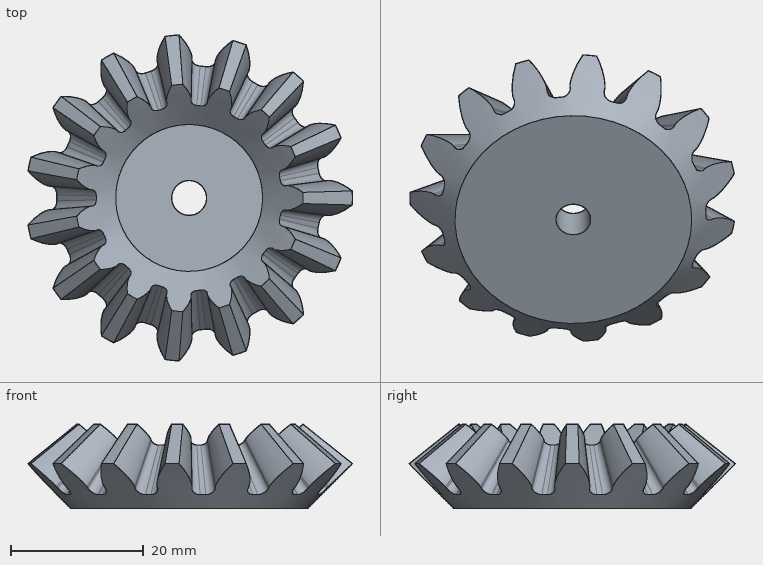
import cadquery as cq
import math

TEETH = 15
MODULE = 3.0
PRESSURE_ANGLE = math.radians(20)
PITCH_ANGLE = math.radians(45)
DEDENDUM_FACTOR = 1.2
FACE_WIDTH_FACTOR = 0.3
PITCH_HEIGHT = 4.65
HEIGHT = 12.75
FLOOR_RADIUS = 11.05
BORE_DIAMETER = 5.2
ROOT_FILLET = 1.35
FLANK_POINTS = 7
OVERCUT = 1.95
CUTTER_OUTER_SCALE = 1.3
CUTTER_INNER_SCALE = 0.4

pitch_radius = MODULE * TEETH / 2
cone_distance = pitch_radius / math.sin(PITCH_ANGLE)
apex_height = PITCH_HEIGHT + cone_distance * math.cos(PITCH_ANGLE)
dedendum = DEDENDUM_FACTOR * MODULE
tip_angle = PITCH_ANGLE + math.atan(dedendum / cone_distance)
tip_radius = pitch_radius + MODULE * math.cos(PITCH_ANGLE)
tip_height = PITCH_HEIGHT + MODULE * math.sin(PITCH_ANGLE)

end_slope = math.tan(PITCH_ANGLE)
base_radius = tip_radius - tip_height / end_slope
top_radius = tip_radius - (HEIGHT - tip_height) * math.tan(tip_angle)
face_width = FACE_WIDTH_FACTOR * cone_distance
inner_pitch_radius = pitch_radius - face_width * math.sin(PITCH_ANGLE)
inner_pitch_height = PITCH_HEIGHT + face_width * math.cos(PITCH_ANGLE)
floor_height = inner_pitch_height - (inner_pitch_radius - FLOOR_RADIUS) * end_slope

virtual_radius = pitch_radius / math.cos(PITCH_ANGLE)
virtual_teeth = TEETH / math.cos(PITCH_ANGLE)
involute_base = virtual_radius * math.cos(PRESSURE_ANGLE)
root_radius = virtual_radius - dedendum


def make_blank():
    """Revolved dish carrying the tooth tips, with the bore through its floor."""
    bore_radius = BORE_DIAMETER / 2
    return (
        cq.Workplane("XZ")
        .moveTo(bore_radius, 0)
        .lineTo(base_radius, 0)
        .lineTo(tip_radius, tip_height)
        .lineTo(top_radius, HEIGHT)
        .lineTo(FLOOR_RADIUS, floor_height)
        .lineTo(bore_radius, floor_height)
        .close()
        .revolve(360, (0, 0), (0, 1))
    )


def gap_half_angle(radius):
    """Half angle of the tooth gap between involute flanks of the equivalent gear."""
    roll = math.acos(min(1.0, involute_base / radius))
    involute = math.tan(roll) - roll
    pitch_involute = math.tan(PRESSURE_ANGLE) - PRESSURE_ANGLE
    return math.pi / (2 * virtual_teeth) - pitch_involute + involute


def flank_points():
    """Points (across, outward) of one gap flank, measured from the pitch point."""
    reach = virtual_radius + MODULE + OVERCUT - involute_base
    points = []
    for i in range(FLANK_POINTS):
        radius = involute_base + reach * (i / (FLANK_POINTS - 1)) ** 2
        angle = gap_half_angle(radius)
        points.append((radius * math.sin(angle), radius * math.cos(angle) - virtual_radius))
    return points


def gap_wire(scale):
    """Gap outline normal to the pitch line, scaled about the cone apex."""
    right = [(x * scale, y * scale) for x, y in flank_points()]
    left = [(-x, y) for x, y in right]
    root = (root_radius - virtual_radius) * scale
    fillet = ROOT_FILLET * scale
    wall = right[0][0]
    diagonal = fillet * (1 - math.sqrt(0.5))
    distance = cone_distance * scale
    origin = (
        distance * math.sin(PITCH_ANGLE),
        0,
        apex_height - distance * math.cos(PITCH_ANGLE),
    )
    normal = (math.sin(PITCH_ANGLE), 0, -math.cos(PITCH_ANGLE))
    plane = cq.Plane(origin=origin, xDir=(0, 1, 0), normal=normal)
    return (
        cq.Workplane(plane)
        .moveTo(*right[0])
        .spline(right[1:], includeCurrent=True)
        .lineTo(*left[-1])
        .spline(left[-2::-1], includeCurrent=True)
        .lineTo(-wall, root + fillet)
        .threePointArc((diagonal - wall, root + diagonal), (fillet - wall, root))
        .lineTo(wall - fillet, root)
        .threePointArc((wall - diagonal, root + diagonal), (wall, root + fillet))
        .close()
        .val()
    )


def make_gap_cutter():
    """Tapered gap whose every line runs to the cone apex, longer than the tooth face."""
    return cq.Solid.makeLoft([gap_wire(CUTTER_OUTER_SCALE), gap_wire(CUTTER_INNER_SCALE)], True)


result = make_blank()
cutter = make_gap_cutter()
pitch_step = 360 / TEETH
for i in range(TEETH):
    gap_angle = (i + 0.5) * pitch_step
    result = result.cut(cq.Workplane(cutter.rotate((0, 0, 0), (0, 0, 1), gap_angle)))